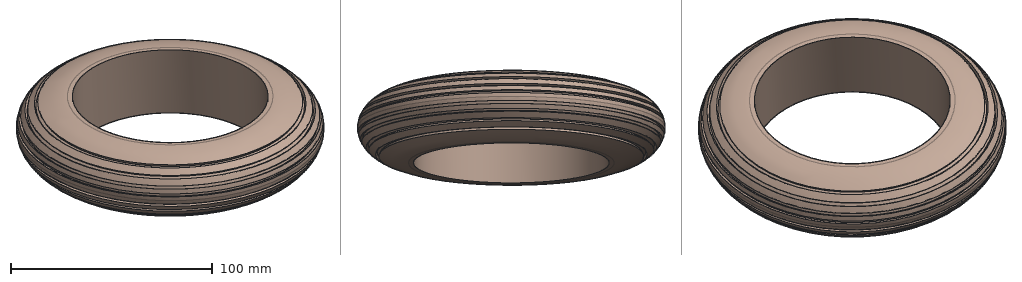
import cadquery as cq
import math

outer_radius = 76.2
bore_radius = 48.5
height = 35.5
rim_radius = 50.9

groove_heights = (2.7, 6.4, 10.5, 14.0)
groove_widths = (1.5, 1.5, 1.8, 1.8)
groove_depth = 1.5
groove_overshoot = 0.8

half_height = height / 2
crown_width = outer_radius - rim_radius


def revolve_about_z(profile):
    """Revolve a profile drawn in the XZ plane once around the Z axis."""
    return profile.revolve(360, (0, 0, 0), (0, 1, 0))


def tyre_body():
    """Ring with a plain bore, flat rims and an elliptical crown."""
    section = (
        cq.Workplane("XZ")
        .moveTo(bore_radius, -half_height)
        .lineTo(rim_radius, -half_height)
        .ellipseArc(crown_width, half_height, -90, 0)
        .ellipseArc(crown_width, half_height, 0, 90)
        .lineTo(bore_radius, half_height)
        .close()
    )
    return revolve_about_z(section)


def groove_cutter(z, width):
    """Ring of rectangular section, aligned with the crown's normal at height z."""
    crown_x = crown_width * math.sqrt(1 - (z / half_height) ** 2)
    normal_angle = math.atan2(z / half_height**2, crown_x / crown_width**2)
    out_x, out_z = math.cos(normal_angle), math.sin(normal_angle)

    def corner(along, across):
        return (
            rim_radius + crown_x + along * out_x - across * out_z,
            z + along * out_z + across * out_x,
        )

    half_width = width / 2
    section = [
        corner(-groove_depth, -half_width),
        corner(groove_overshoot, -half_width),
        corner(groove_overshoot, half_width),
        corner(-groove_depth, half_width),
    ]
    return revolve_about_z(cq.Workplane("XZ").polyline(section).close())


result = tyre_body()
for groove_height, groove_width in zip(groove_heights, groove_widths):
    upper_groove = groove_cutter(groove_height, groove_width)
    result = result.cut(upper_groove).cut(upper_groove.mirror("XY"))